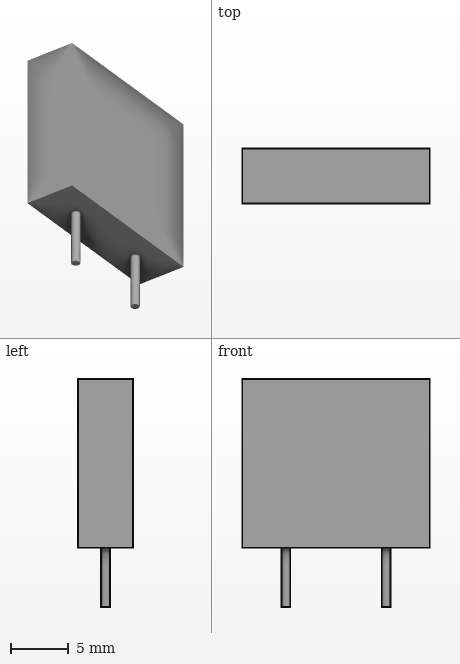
import cadquery as cq

total_height = 19.78
body_width = 16.3
body_depth = 4.8
body_height = 14.65
pin_diameter = 0.8
pin_spacing = 8.68

pin_length = total_height - body_height


def make_body():
    """Rectangular block standing on the plane Z = 0, centred in X and Y."""
    return cq.Workplane("XY").box(body_width, body_depth, body_height, centered=(True, True, False))


def make_pin(x):
    """Round pin hanging from the underside of the body."""
    return cq.Workplane("XY").center(x, 0).circle(pin_diameter / 2).extrude(-pin_length)


body = make_body()
pins = [make_pin(side * pin_spacing / 2) for side in (-1, 1)]

result = cq.Compound.makeCompound([body.val(), *[pin.val() for pin in pins]])